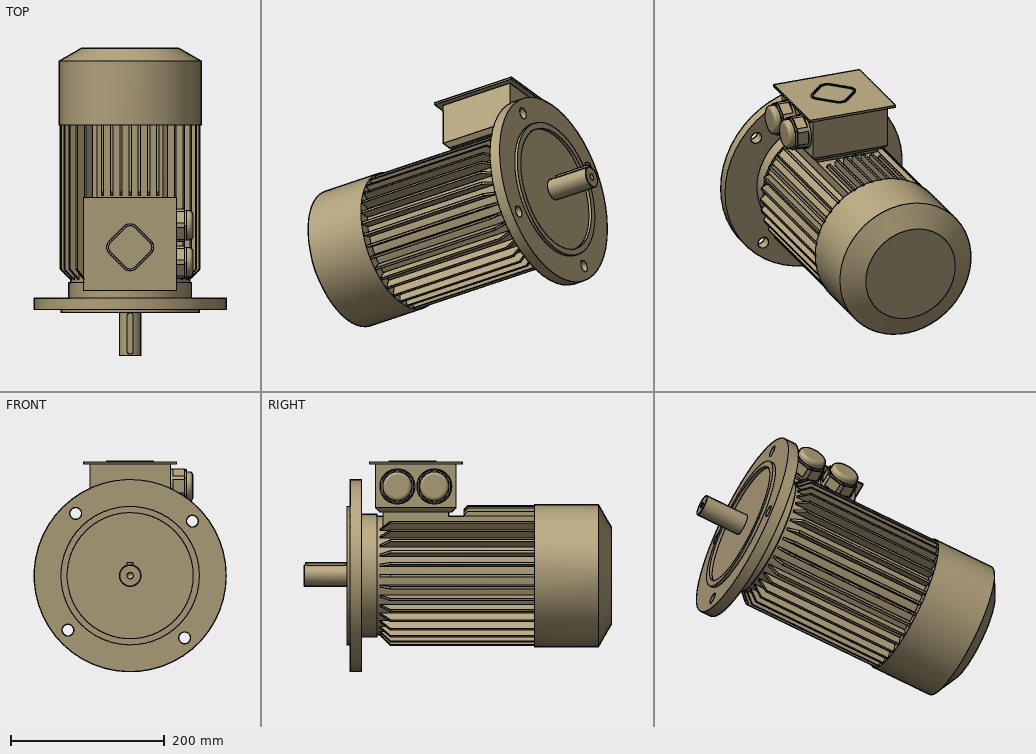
import cadquery as cq
import math


flange_diameter = 250
flange_thickness = 15
register_outer_diameter = 180
register_inner_diameter = 164
register_height = 4
flange_hole_diameter = 15
flange_hole_circle = 215
flange_hole_count = 4
flange_hole_start_angle = 41.2

shaft_diameter = 28
shaft_length = 60
centre_hole_diameter = 8.38
centre_hole_angle = 120
shaft_chamfer = 0.5
key_width = 8
key_top = 17
key_length = 54
key_end_gap = 2

end_bell_diameter = 160
end_bell_end = 35
body_diameter = 155
body_radius = body_diameter / 2

cover_start = 240
cover_diameter = 185
cover_radius = cover_diameter / 2
motor_rear = 340
cover_cone_length = 17
cover_cone_slope = 30
cover_rear_radius = cover_radius - cover_cone_length / math.tan(math.radians(cover_cone_slope))

fin_radius = 91
fin_thickness = 3
fin_start = 39
fin_root_overlap = 2
fin_root_radius = body_radius - fin_root_overlap
radial_fin_pitch = 10
radial_fin_first_angle = -50
radial_fin_count = 29
top_fin_pitch = 12
top_fin_count = 7
top_fin_start = 148
top_fin_chamfer = 5

box_centre_y = 85.5
pad_size = 86
pad_top = 82.5
platform_top = body_radius
box_size = 105
box_taper_inset = 6
box_taper_top = 88.5
lid_size = 121
lid_bottom = 145
lid_top = 148

badge_centre_y = 81
badge_width = 50
badge_corner_radius = 11.5
badge_border = 2.5
badge_height = 1
badge_turn = 45

hexagon_sides = 6
gland_spacing = 48
gland_z = 116
gland_body_diameter = 45.5
gland_neck_length = 3.5
gland_hex_across_flats = 42
gland_hex_end = 70.5
gland_nut_across_flats = 38
gland_nut_end = 73
gland_cap_diameter = 38
gland_cap_end = 81.5
gland_cap_fillet = 4.5


def cylinder_y(diameter, start, end):
    """Cylinder on the motor axis from Y = start to Y = end."""
    return cq.Workplane("XZ", origin=(0, start, 0)).circle(diameter / 2).extrude(start - end)


def block(size_x, start_y, end_y, bottom, top):
    """Box centred on X = 0."""
    size_y = end_y - start_y
    base = cq.Workplane("XY", origin=(0, start_y + size_y / 2, bottom))
    return base.rect(size_x, size_y).extrude(top - bottom)


def make_flange():
    """Mounting flange with a raised register ring and four bolt holes."""
    flange = cylinder_y(flange_diameter, 0, flange_thickness)
    register = cylinder_y(register_outer_diameter, -register_height, 0)
    register = register.cut(cylinder_y(register_inner_diameter, -register_height, 0))
    holes = (
        cq.Workplane("XZ")
        .polarArray(flange_hole_circle / 2, flange_hole_start_angle, 360, flange_hole_count)
        .circle(flange_hole_diameter / 2)
        .extrude(-flange_thickness)
    )
    return flange.union(register).cut(holes)


def make_shaft():
    """Shaft with a fixed round-ended key and a conical centre hole."""
    shaft = cylinder_y(shaft_diameter, -shaft_length, 0).faces("<Y").chamfer(shaft_chamfer)
    key_centre_y = -shaft_length + key_end_gap + key_length / 2
    key = (
        cq.Workplane("XY", origin=(0, key_centre_y, 0))
        .slot2D(key_length, key_width, 90)
        .extrude(key_top)
    )
    centre_radius = centre_hole_diameter / 2
    centre_depth = centre_radius / math.tan(math.radians(centre_hole_angle / 2))
    centre_hole = cq.Workplane(
        cq.Solid.makeCone(
            centre_radius, 0, centre_depth, pnt=cq.Vector(0, -shaft_length, 0), dir=cq.Vector(0, 1, 0)
        )
    )
    return shaft.union(key).cut(centre_hole)


def make_housing():
    """Turned end bell, body and fan cover with its conical rear."""
    profile = [
        (0, 0),
        (end_bell_diameter / 2, 0),
        (end_bell_diameter / 2, end_bell_end),
        (body_radius, end_bell_end),
        (body_radius, cover_start),
        (cover_radius, cover_start),
        (cover_radius, motor_rear - cover_cone_length),
        (cover_rear_radius, motor_rear),
        (0, motor_rear),
    ]
    return cq.Workplane("XY").polyline(profile).close().revolve(360, (0, 0, 0), (0, 1, 0))


def make_radial_fins():
    """Fins around the sides and bottom, sloped at 45 degrees down to the body at the front."""
    slope_end = fin_start + fin_radius - body_radius
    profile = [
        (fin_root_radius, fin_start),
        (body_radius, fin_start),
        (fin_radius, slope_end),
        (fin_radius, cover_start),
        (fin_root_radius, cover_start),
    ]
    fin = cq.Workplane("XY").polyline(profile).close().extrude(fin_thickness / 2, both=True)
    fins = cq.Workplane("XY")
    for index in range(radial_fin_count):
        angle = radial_fin_first_angle + index * radial_fin_pitch
        fins = fins.add(fin.rotate((0, 0, 0), (0, 1, 0), angle))
    return fins


def make_top_fins():
    """Upright parallel fins behind the terminal box."""
    fins = cq.Workplane("XY")
    for index in range(top_fin_count):
        x = (index - (top_fin_count - 1) / 2) * top_fin_pitch
        tip = math.sqrt(fin_radius**2 - x**2)
        profile = [
            (top_fin_start, fin_root_radius),
            (top_fin_start, tip - top_fin_chamfer),
            (top_fin_start + top_fin_chamfer, tip),
            (cover_start, tip),
            (cover_start, fin_root_radius),
        ]
        fin = cq.Workplane("YZ", origin=(x, 0, 0)).polyline(profile).close()
        fins = fins.add(fin.extrude(fin_thickness / 2, both=True))
    return fins


def make_terminal_box():
    """Flat-topped platform along the body, pad, tapered box bottom, box and lid."""
    pad_start = box_centre_y - pad_size / 2
    platform = block(pad_size, pad_start, cover_start, 0, platform_top)
    pad = block(pad_size, pad_start, pad_start + pad_size, 0, pad_top)
    taper_bottom = box_size - 2 * box_taper_inset
    taper = (
        cq.Workplane("XY", origin=(0, box_centre_y, pad_top))
        .rect(taper_bottom, taper_bottom)
        .workplane(offset=box_taper_top - pad_top)
        .rect(box_size, box_size)
        .loft(ruled=True)
    )
    box_start = box_centre_y - box_size / 2
    box = block(box_size, box_start, box_start + box_size, box_taper_top, lid_bottom)
    lid_start = box_centre_y - lid_size / 2
    lid = block(lid_size, lid_start, lid_start + lid_size, lid_bottom, lid_top)
    return platform.union(pad).union(taper).union(box).union(lid)


def rounded_square(width, corner_radius):
    """Plate of the badge height with rounded corners."""
    prism = cq.Workplane("XY").rect(width, width).extrude(badge_height)
    return prism.edges("|Z").fillet(corner_radius)


def make_badge_frame():
    """Raised rounded-square border standing on one corner."""
    outer = rounded_square(badge_width, badge_corner_radius)
    inner = rounded_square(badge_width - 2 * badge_border, badge_corner_radius - badge_border)
    frame = outer.cut(inner).rotate((0, 0, 0), (0, 0, 1), badge_turn)
    return frame.translate((0, badge_centre_y, lid_top))


def hexagon_x(across_flats, start, end):
    """Hexagonal prism along X with two flats facing +Y and -Y."""
    half_side_angle = 180 / hexagon_sides
    across_corners = across_flats / math.cos(math.radians(half_side_angle))
    prism = cq.Workplane("YZ").polygon(hexagon_sides, across_corners).extrude(end - start)
    return prism.rotate((0, 0, 0), (1, 0, 0), half_side_angle).translate((start, 0, 0))


def cylinder_x(diameter, start, end):
    """Cylinder on the X axis from X = start to X = end."""
    return cq.Workplane("YZ", origin=(start, 0, 0)).circle(diameter / 2).extrude(end - start)


def make_gland():
    """Cable gland on the X axis: round neck, hexagon with turned corners, nut and domed cap."""
    box_side = box_size / 2
    neck_end = box_side + gland_neck_length
    neck = cylinder_x(gland_body_diameter, box_side, neck_end)
    corner_limit = cylinder_x(gland_body_diameter, neck_end, gland_hex_end)
    hexagon = hexagon_x(gland_hex_across_flats, neck_end, gland_hex_end).intersect(corner_limit)
    nut = hexagon_x(gland_nut_across_flats, gland_hex_end, gland_nut_end)
    cap = cylinder_x(gland_cap_diameter, gland_nut_end, gland_cap_end)
    cap = cap.faces(">X").edges().fillet(gland_cap_fillet)
    return neck.union(hexagon).union(nut).union(cap)


result = make_housing().union(make_flange()).union(make_shaft()).union(make_terminal_box())
for fin in make_radial_fins().vals() + make_top_fins().vals():
    result = result.union(cq.Workplane(fin))
result = result.union(make_badge_frame())
for side in (-1, 1):
    gland_y = box_centre_y + side * gland_spacing / 2
    result = result.union(make_gland().translate((0, gland_y, gland_z)))